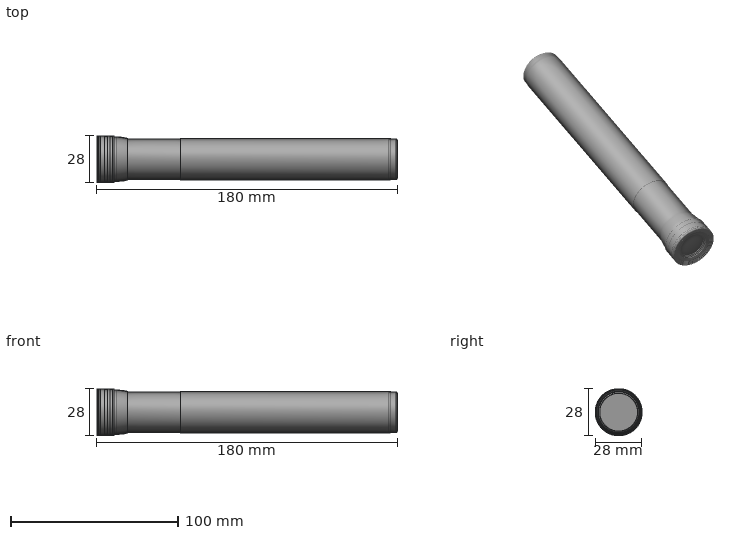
import cadquery as cq

total_length = 180.0
joint_x = 50.0

bezel_diameter = 28.0
neck_diameter = 24.5
bezel_end_x = 10.5
collar_diameter = 26.8
collar_end_x = 11.7
flare_end_x = 18.4
flare_end_diameter = 24.8
flare_bulge = 0.2
front_chamfer = 0.4

groove_depth = 0.2
front_groove_start = 0.5
front_groove_width = 0.5
front_groove_pitch = 1.3
grip_groove_start = 4.7
grip_groove_width = 1.6
grip_groove_pitch = 3.2
grooves_per_group = 2

mouth_diameter = 26.6
cone_outer_diameter = 21.8
terrace_count = 4
terrace_depth = 0.2
cone_inner_diameter = 18.5
cone_depth = 0.5
window_diameter = 14.0
window_step_count = 3
window_step_depth = 0.4

barrel_diameter = 25.0
tail_diameter = 24.5
barrel_end_x = 174.6
tail_start_x = 175.9
tail_chamfer_length = 0.9
tail_end_diameter = 22.7


def revolve_about_x(profile):
    return profile.close().revolve(360, (0, 0, 0), (1, 0, 0))


def ring_cutter(start_x, width):
    """Ring that cuts a shallow square groove into the bezel."""
    floor_radius = bezel_diameter / 2 - groove_depth
    return (
        cq.Workplane("YZ", origin=(start_x, 0, 0))
        .circle(bezel_diameter)
        .circle(floor_radius)
        .extrude(width)
    )


def descend_steps(profile, start_x, start_radius, end_radius, count, depth):
    """Add equal steps that go deeper as they close in on the axis."""
    tread = (start_radius - end_radius) / count
    for index in range(count):
        radius = start_radius - index * tread
        step_x = start_x + (index + 1) * depth
        profile = profile.lineTo(step_x, radius).lineTo(step_x, radius - tread)
    return profile


def front_recess():
    """Stepped, conical recess that opens at the front face."""
    mouth_radius = mouth_diameter / 2
    cone_outer_radius = cone_outer_diameter / 2
    cone_inner_radius = cone_inner_diameter / 2
    window_radius = window_diameter / 2
    cone_start_x = terrace_count * terrace_depth
    cone_end_x = cone_start_x + cone_depth
    window_x = cone_end_x + window_step_count * window_step_depth
    profile = cq.Workplane("XY").lineTo(0, mouth_radius)
    profile = descend_steps(
        profile, 0, mouth_radius, cone_outer_radius, terrace_count, terrace_depth
    )
    profile = profile.lineTo(cone_end_x, cone_inner_radius)
    profile = descend_steps(
        profile, cone_end_x, cone_inner_radius, window_radius, window_step_count, window_step_depth
    )
    return revolve_about_x(profile.lineTo(window_x, 0))


def cut_grooves(body, start_x, width, pitch):
    """Cut one group of equally spaced grooves."""
    for index in range(grooves_per_group):
        body = body.cut(ring_cutter(start_x + index * pitch, width))
    return body


def make_head():
    bezel_radius = bezel_diameter / 2
    collar_radius = collar_diameter / 2
    neck_radius = neck_diameter / 2
    flare_end_radius = flare_end_diameter / 2
    flare_middle = (
        (collar_end_x + flare_end_x) / 2,
        (collar_radius + flare_end_radius) / 2 + flare_bulge,
    )
    profile = (
        cq.Workplane("XY")
        .lineTo(0, bezel_radius - front_chamfer)
        .lineTo(front_chamfer, bezel_radius)
        .lineTo(bezel_end_x, bezel_radius)
        .lineTo(bezel_end_x, collar_radius)
        .lineTo(collar_end_x, collar_radius)
        .threePointArc(flare_middle, (flare_end_x, flare_end_radius))
        .lineTo(flare_end_x, neck_radius)
        .lineTo(joint_x, neck_radius)
        .lineTo(joint_x, 0)
    )
    head = revolve_about_x(profile).cut(front_recess())
    head = cut_grooves(head, front_groove_start, front_groove_width, front_groove_pitch)
    return cut_grooves(head, grip_groove_start, grip_groove_width, grip_groove_pitch)


def make_barrel():
    """Plain barrel with a tapered step to the tail and a chamfered tail end."""
    profile = (
        cq.Workplane("XY")
        .moveTo(joint_x, 0)
        .lineTo(joint_x, barrel_diameter / 2)
        .lineTo(barrel_end_x, barrel_diameter / 2)
        .lineTo(tail_start_x, tail_diameter / 2)
        .lineTo(total_length - tail_chamfer_length, tail_diameter / 2)
        .lineTo(total_length, tail_end_diameter / 2)
        .lineTo(total_length, 0)
    )
    return revolve_about_x(profile)


head = make_head()
barrel = make_barrel()
result = cq.Compound.makeCompound([head.val(), barrel.val()])